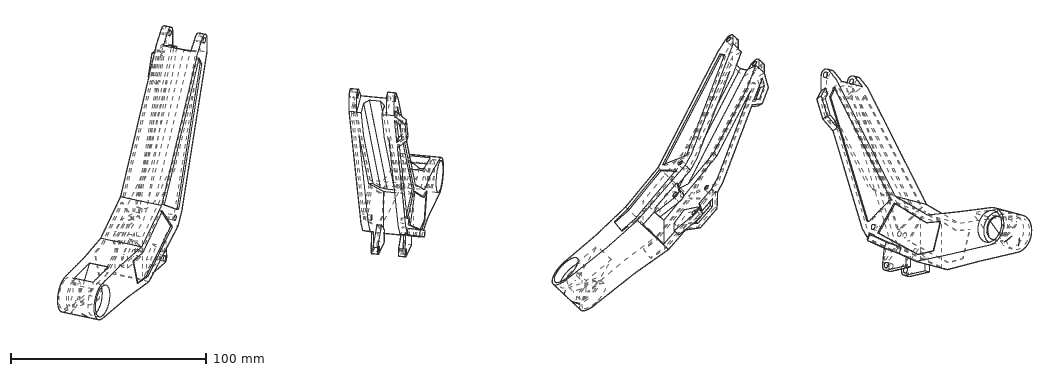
import cadquery as cq
import math

BOOM_TURN = -58.7

PLATE_OUTER = 11.8
PLATE_INNER = 7.8
PIVOT_HALF_WIDTH = 10.5
CHANNEL_HALF_WIDTH = 5.4

CUT_REACH = 24.0
ARM_REACH = 144.2

PIVOT_RADIUS = 9.9
PIVOT = (0, PIVOT_RADIUS)
BORE_RADIUS = 6.1
COUNTERBORE_RADIUS = 8.3
COUNTERBORE_DEPTH = 4.3

UPPER_KNEE = (-65.1, 37.0)
LOWER_KNEE = (-42.4, 23.1)
TIP_TOP = (-106.5, 105.9)
TIP_BACK = (-117.3, 101.8)
BACK_KNEE = (-88.5, 24.2)
HEEL = (-84.0, 17.4)
SOLE_START = (-50.7, 0)

TIP_PIN = (-114.2, 109.8)
TIP_LUG_RADIUS = TIP_PIN[0] - TIP_BACK[0]
PIN_HOLE_RADIUS = 1.5
SIDE_HOLE = (-80.6, 23.5)
SIDE_HOLE_RADIUS = 1.3

WEB_END_SLOPE = 22.0
WEB_THICKNESS = 2.4
WEB_CHAMFER = 2.5
RAIL_DEPTH = 14.5
KNEE_WEB_THICKNESS = 3.6
HOLLOW_END_U = -51.1

TAPER_LEAN = 19.8
TAPER_LENGTH = 21.1

PANEL_DEPTH = 1.0
PANEL_CORNER_RADIUS = 1.5
ROUNDED_CORNER = (-84.7, 26.3)
UPPER_PANEL = [(-108.2, 102.1), (-68.3, 36.0), ROUNDED_CORNER, (-111.3, 97.7)]
LOWER_PANEL = [(-66.0, 33.5), (-43.7, 19.3), (-34.1, 18.3), (-39.0, 3.7), (-49.5, 3.5), (-77.5, 19.8)]

HANDLE_HEIGHT = 5.4
HANDLE_INSET = 6.0
HANDLE_BAR = 2.6
HANDLE_WIDTH = 3.4
HANDLE_ROOT = 1.2
UPPER_HANDLE_LENGTH = 24.0
LOWER_HANDLE_LENGTH = 25.2
LOWER_HANDLE_START = -1.0

BRACKET_PIN = (-74.1, 2.8)
BRACKET_NOSE_RADIUS = BRACKET_PIN[1]
BRACKET_OUTER = 8.9
BRACKET_INNER = 5.4
BRACKET_END_U = -60.5
BRACKET_END_TOP = 7.2
BRACKET_NECK = (-75.2, 15.0)
BOSS_TOP = (-67.3, 13.1)
BOSS_BACK = (-76.9, 4.9)

WINDOW_BACK = (-16.8, 20.9)
WINDOW_FRONT_U = 0.7
WINDOW_TOUCH_ANGLE = 211.0

RAMP_FOOT = (-3.0, 4.5)
RAMP_SLOPE = 33.0
RAMP_HALF_WIDTH = 1.6
RAMP_BANK = 1.0
FLAT_SLOPE = 45.0
FLAT_DISTANCE = 9.6
FLAT_WIDE_HALF = 5.4
FLAT_NARROW_HALF = 2.8


def slab(points, w_start, w_end):
    """Side profile of (u, z) corners, filled between two places across the boom."""
    w_min, w_max = sorted((w_start, w_end))
    return cq.Workplane("XZ", origin=(0, w_max, 0)).polyline(points).close().extrude(w_max - w_min)


def cylinder(center, radius, w_start, w_end):
    w_min, w_max = sorted((w_start, w_end))
    return cq.Workplane("XZ", origin=(0, w_max, 0)).center(*center).circle(radius).extrude(w_max - w_min)


def unit(start, end):
    length = math.dist(start, end)
    return ((end[0] - start[0]) / length, (end[1] - start[1]) / length)


def shifted(point, direction, distance):
    return (point[0] + direction[0] * distance, point[1] + direction[1] * distance)


def below(point, direction, distance):
    """Point moved square to a downhill direction, to its lower side."""
    return shifted(point, (direction[1], -direction[0]), distance)


def crossing(point_a, dir_a, point_b, dir_b):
    """Crossing of two lines, each given by a point and a direction."""
    cross = dir_a[0] * dir_b[1] - dir_a[1] * dir_b[0]
    gap = (point_b[0] - point_a[0], point_b[1] - point_a[1])
    return shifted(point_a, dir_a, (gap[0] * dir_b[1] - gap[1] * dir_b[0]) / cross)


def direction_at(degrees):
    angle = math.radians(degrees)
    return (math.cos(angle), math.sin(angle))


def on_circle(center, radius, degrees):
    return shifted(center, direction_at(degrees), radius)


def tangent_point(point, center, radius, turn):
    """Where a tangent from a point touches a circle; turn is +1 or -1 for the two choices."""
    toward = math.atan2(point[1] - center[1], point[0] - center[0])
    opening = math.acos(radius / math.dist(point, center))
    return on_circle(center, radius, math.degrees(toward + turn * opening))


ARM_DIRECTION = unit(TIP_TOP, UPPER_KNEE)
KNEE_DIRECTION = unit(UPPER_KNEE, LOWER_KNEE)


def boom_solid():
    lug_crown = on_circle(TIP_PIN, TIP_LUG_RADIUS, 120)
    lug_back = (TIP_BACK[0], TIP_PIN[1])
    profile = (
        cq.Workplane("XZ", origin=(0, PLATE_OUTER, 0))
        .moveTo(*SOLE_START)
        .lineTo(0, 0)
        .threePointArc((PIVOT_RADIUS, PIVOT_RADIUS), tangent_point(LOWER_KNEE, PIVOT, PIVOT_RADIUS, -1))
        .lineTo(*LOWER_KNEE)
        .lineTo(*UPPER_KNEE)
        .lineTo(*TIP_TOP)
        .lineTo(*tangent_point(TIP_TOP, TIP_PIN, TIP_LUG_RADIUS, 1))
        .threePointArc(lug_crown, lug_back)
        .lineTo(*TIP_BACK)
        .lineTo(*BACK_KNEE)
        .lineTo(*HEEL)
        .close()
    )
    return profile.extrude(2 * PLATE_OUTER)


def hollow():
    """Space between the side plates: a wide hollow at the back and a channel along the arm."""
    rail_line = below(UPPER_KNEE, ARM_DIRECTION, RAIL_DEPTH)
    web_line = below(UPPER_KNEE, ARM_DIRECTION, WEB_THICKNESS)
    knee_line = below(UPPER_KNEE, KNEE_DIRECTION, KNEE_WEB_THICKNESS)
    rail_knee = crossing(rail_line, ARM_DIRECTION, knee_line, KNEE_DIRECTION)
    web_knee = crossing(web_line, ARM_DIRECTION, knee_line, KNEE_DIRECTION)
    end_wall_top = crossing(knee_line, KNEE_DIRECTION, (HOLLOW_END_U, 0), (0, 1))
    wide = slab(
        [
            (HOLLOW_END_U, 0),
            end_wall_top,
            rail_knee,
            shifted(rail_knee, ARM_DIRECTION, -ARM_REACH),
            (TIP_BACK[0] - CUT_REACH, 0),
        ],
        -PLATE_INNER,
        PLATE_INNER,
    )

    channel_plane = cq.Plane(
        origin=(web_knee[0], 0, web_knee[1]),
        xDir=(0, 1, 0),
        normal=(-ARM_DIRECTION[0], 0, -ARM_DIRECTION[1]),
    )
    roof_half = CHANNEL_HALF_WIDTH - WEB_CHAMFER
    section = [
        (-roof_half, 0),
        (roof_half, 0),
        (CHANNEL_HALF_WIDTH, WEB_CHAMFER),
        (CHANNEL_HALF_WIDTH, RAIL_DEPTH),
        (-CHANNEL_HALF_WIDTH, RAIL_DEPTH),
        (-CHANNEL_HALF_WIDTH, WEB_CHAMFER),
    ]
    channel = cq.Workplane(channel_plane).polyline(section).close().extrude(ARM_REACH)
    return wide.union(channel)


def tip_gap():
    """Space between the two tip lugs, above the sloped end of the web."""
    end_direction = direction_at(WEB_END_SLOPE)
    end_back = shifted(TIP_TOP, end_direction, -CUT_REACH)
    end_front = shifted(TIP_TOP, end_direction, CUT_REACH)
    gap_top = TIP_TOP[1] + CUT_REACH
    outline = [end_back, end_front, (end_front[0], gap_top), (end_back[0], gap_top)]
    return slab(outline, -PLATE_INNER, PLATE_INNER)


def side_taper(side):
    """Wedge that narrows one side from the plates to the pivot barrel."""
    along = direction_at(-TAPER_LEAN)
    plane = cq.Plane(
        origin=(SOLE_START[0], 0, SOLE_START[1]),
        xDir=(along[0], 0, along[1]),
        normal=(-along[1], 0, along[0]),
    )
    outline = [
        (0, side * PLATE_OUTER),
        (TAPER_LENGTH, side * PIVOT_HALF_WIDTH),
        (ARM_REACH, side * PIVOT_HALF_WIDTH),
        (ARM_REACH, side * CUT_REACH),
        (0, side * CUT_REACH),
    ]
    return cq.Workplane(plane).polyline(outline).close().extrude(ARM_REACH, both=True)


def side_panels(side):
    floor = side * (PLATE_OUTER - PANEL_DEPTH)
    corner = cq.selectors.NearestToPointSelector((ROUNDED_CORNER[0], floor, ROUNDED_CORNER[1]))
    upper = slab(UPPER_PANEL, floor, side * CUT_REACH).edges("|Y").edges(corner).fillet(PANEL_CORNER_RADIUS)
    return upper.union(slab(LOWER_PANEL, floor, side * CUT_REACH))


def handle(edge_start, edge_end, first, length):
    """Bent bar on the -W plate, flush with the plate edge between two corners."""
    along = unit(edge_start, edge_end)
    base = shifted(edge_start, along, first)
    plane = cq.Plane(
        origin=(base[0], -PLATE_OUTER, base[1]),
        xDir=(along[0], 0, along[1]),
        normal=(-along[1], 0, along[0]),
    )
    leg_ratio = HANDLE_INSET / HANDLE_HEIGHT
    outline = [
        (0, HANDLE_ROOT),
        (0, 0),
        (HANDLE_INSET, -HANDLE_HEIGHT),
        (length - HANDLE_INSET, -HANDLE_HEIGHT),
        (length, 0),
        (length, HANDLE_ROOT),
    ]
    foot = HANDLE_BAR * math.hypot(1, leg_ratio)
    gap_height = HANDLE_HEIGHT - HANDLE_BAR
    gap_shoulder = foot + gap_height * leg_ratio
    gap = [
        (foot, 0),
        (gap_shoulder, -gap_height),
        (length - gap_shoulder, -gap_height),
        (length - foot, 0),
    ]
    bar = cq.Workplane(plane).polyline(outline).close().extrude(HANDLE_WIDTH)
    return bar.cut(cq.Workplane(plane).polyline(gap).close().extrude(HANDLE_WIDTH))


def bracket_lug(side):
    """Rounded lug: a thin cheek with a thicker boss on its inner face, below a slanted edge."""
    outer, cheek_inner, inner = side * BRACKET_OUTER, side * PLATE_INNER, side * BRACKET_INNER
    foot = [
        (BRACKET_PIN[0] - BRACKET_NOSE_RADIUS, BRACKET_PIN[1]),
        (BRACKET_PIN[0], 0),
        (BRACKET_END_U, 0),
        (BRACKET_END_U, BRACKET_END_TOP),
    ]
    cheek = slab(foot + [BRACKET_NECK], outer, cheek_inner)
    boss = slab(foot + [BOSS_TOP, BOSS_BACK], cheek_inner, inner)
    nose = cylinder(BRACKET_PIN, BRACKET_NOSE_RADIUS, outer, inner)
    return cheek.union(boss).union(nose)


def pivot_cavity():
    """Blind bore and the window above it, less the stepped ramp left on the bore floor."""
    bore = cylinder(PIVOT, BORE_RADIUS, -CUT_REACH, CHANNEL_HALF_WIDTH)
    window = slab(
        [
            WINDOW_BACK,
            on_circle(PIVOT, BORE_RADIUS, WINDOW_TOUCH_ANGLE),
            (WINDOW_FRONT_U, PIVOT[1]),
            (WINDOW_FRONT_U, CUT_REACH),
            (WINDOW_BACK[0], CUT_REACH),
        ],
        -CHANNEL_HALF_WIDTH,
        CHANNEL_HALF_WIDTH,
    )
    uphill = direction_at(RAMP_SLOPE)
    plane = cq.Plane(
        origin=(RAMP_FOOT[0], 0, RAMP_FOOT[1]),
        xDir=(0, 1, 0),
        normal=(uphill[0], 0, uphill[1]),
    )
    bank = (CHANNEL_HALF_WIDTH - RAMP_HALF_WIDTH) * RAMP_BANK
    section = [
        (-CHANNEL_HALF_WIDTH, -bank),
        (-RAMP_HALF_WIDTH, 0),
        (RAMP_HALF_WIDTH, 0),
        (CHANNEL_HALF_WIDTH, bank),
        (CHANNEL_HALF_WIDTH, -CUT_REACH),
        (-CHANNEL_HALF_WIDTH, -CUT_REACH),
    ]
    ramp = cq.Workplane(plane).polyline(section).close().extrude(CUT_REACH, both=True)
    return bore.union(window).cut(ramp)


def counterbore(side):
    floor = side * (PIVOT_HALF_WIDTH - COUNTERBORE_DEPTH)
    return cylinder(PIVOT, COUNTERBORE_RADIUS, floor, side * CUT_REACH)


def barrel_flat():
    """Shallow flat across the lower front of the barrel, narrower at its upper end."""
    outward = direction_at(FLAT_SLOPE - 90)
    center = shifted(PIVOT, outward, FLAT_DISTANCE)
    plane = cq.Plane(origin=(center[0], 0, center[1]), xDir=(0, 1, 0), normal=(outward[0], 0, outward[1]))
    half_chord = math.sqrt(PIVOT_RADIUS**2 - FLAT_DISTANCE**2)
    outline = [
        (-FLAT_WIDE_HALF, -half_chord),
        (FLAT_WIDE_HALF, -half_chord),
        (FLAT_NARROW_HALF, half_chord),
        (-FLAT_NARROW_HALF, half_chord),
    ]
    return cq.Workplane(plane).polyline(outline).close().extrude(PIVOT_RADIUS)


boom = boom_solid().cut(hollow()).cut(tip_gap())
for side in (-1, 1):
    boom = boom.cut(side_taper(side)).cut(side_panels(side)).cut(counterbore(side))
    boom = boom.union(bracket_lug(side))

boom = boom.union(handle(TIP_BACK, BACK_KNEE, 0, UPPER_HANDLE_LENGTH))
boom = boom.union(handle(HEEL, SOLE_START, LOWER_HANDLE_START, LOWER_HANDLE_LENGTH))

for center, radius in (
    (TIP_PIN, PIN_HOLE_RADIUS),
    (SIDE_HOLE, SIDE_HOLE_RADIUS),
    (BRACKET_PIN, PIN_HOLE_RADIUS),
):
    boom = boom.cut(cylinder(center, radius, -CUT_REACH, CUT_REACH))

boom = boom.cut(pivot_cavity()).cut(barrel_flat())

result = boom.rotate((0, 0, 0), (0, 0, 1), BOOM_TURN)